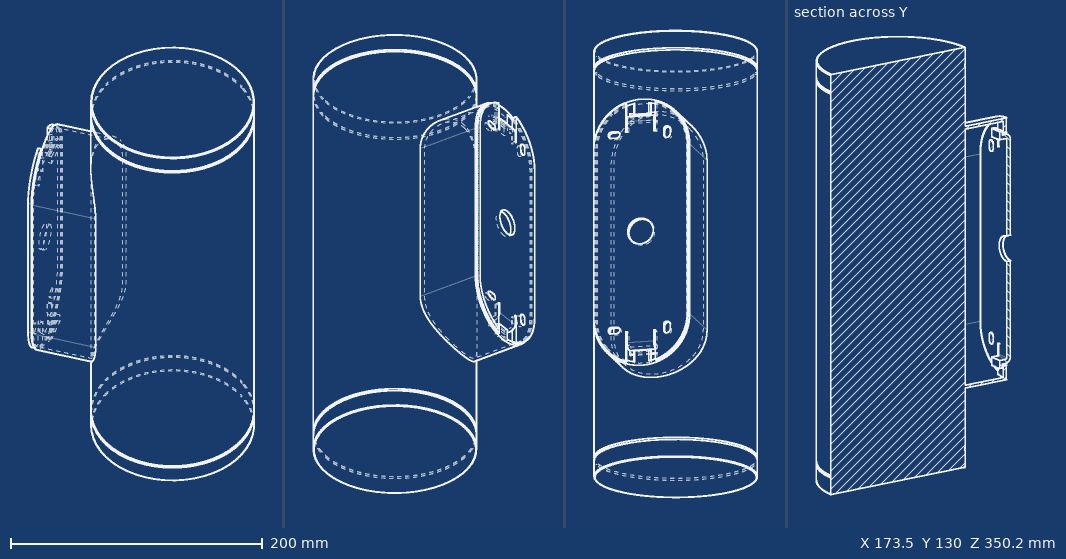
import cadquery as cq

LAMP_HEIGHT = 350.2
LAMP_DIAMETER = 130.0
LAMP_RADIUS = LAMP_DIAMETER / 2
LAMP_EDGE_CHAMFER = 0.7
GROOVE_OFFSET = 14.5
GROOVE_WIDTH = 1.8
GROOVE_DEPTH = 0.5

OVERALL_DEPTH = 173.5
ARM_RADIUS = 39.5
ARM_STRAIGHT = 139.5
ARM_WALL = 2.8

PLATE_THICKNESS = 4.0
PLATE_INSET = 1.0
SHADOW_GAP_WIDTH = 1.0
SHADOW_GAP_DEPTH = 1.0
CABLE_HOLE_DIAMETER = 21.0
SCREW_SLOT_LENGTH = 9.5
SCREW_SLOT_WIDTH = 5.3
SCREW_SLOT_Y = 21.7
SCREW_SLOT_Z = 80.2

CLIP_WINDOW_WIDTH = 24.5
CLIP_ROOT_Z = 82.0
CLIP_GAP = 1.5
CLIP_OUTER_Z = 95.5
CLIP_BEND_RADIUS = 5.0
CLIP_LIP_Z = 98.8
CLIP_LIP_LENGTH = 3.0
CLIP_CLEARANCE = 0.5
TAB_WIDTH = 14.0
TAB_INNER_Z = 97.0
TAB_THICKNESS = 3.5
TAB_SIDE_CHAMFER = 1.5

PLATE_FACE_X = LAMP_RADIUS - OVERALL_DEPTH
ARM_FACE_X = PLATE_FACE_X + PLATE_THICKNESS
ARM_END_Z = ARM_STRAIGHT / 2 + ARM_RADIUS


def stadium(start_x, length, radius):
    """Upright stadium with round ends of the given radius, extruded along +X."""
    return (
        cq.Workplane("YZ", origin=(start_x, 0, 0))
        .slot2D(ARM_STRAIGHT + 2 * radius, 2 * radius, 90)
        .extrude(length)
    )


def box_between(x_range, width, z_range):
    """Box centred on Y = 0 between two X limits and two Z limits."""
    x_start, x_end = x_range
    z_start, z_end = z_range
    return (
        cq.Workplane("XY", origin=(x_start, 0, z_start))
        .box(x_end - x_start, width, z_end - z_start, centered=(False, True, False))
    )


def at_both_ends(shape):
    """The shape at the upper end and its mirror image at the lower end."""
    return [shape, shape.mirror("XY")]


def make_lamp_cylinder():
    lamp = (
        cq.Workplane("XY")
        .circle(LAMP_RADIUS)
        .extrude(LAMP_HEIGHT / 2, both=True)
        .edges("%CIRCLE")
        .chamfer(LAMP_EDGE_CHAMFER)
    )
    groove_top = LAMP_HEIGHT / 2 - GROOVE_OFFSET
    groove = (
        cq.Workplane("XY", origin=(0, 0, groove_top - GROOVE_WIDTH))
        .circle(LAMP_RADIUS)
        .circle(LAMP_RADIUS - GROOVE_DEPTH)
        .extrude(GROOVE_WIDTH)
    )
    for ring in at_both_ends(groove):
        lamp = lamp.cut(ring)
    return lamp


def make_snap_tab():
    """Tab standing inward from the upper end of the arm rim, bevelled along its front sides."""
    tab = box_between(
        (ARM_FACE_X, ARM_FACE_X + TAB_THICKNESS), TAB_WIDTH, (TAB_INNER_Z, ARM_END_Z)
    )
    return tab.faces("<X").edges("|Z").chamfer(TAB_SIDE_CHAMFER)


def make_housing():
    arm_length = -ARM_FACE_X
    outer = stadium(ARM_FACE_X, arm_length, ARM_RADIUS)
    arm = outer.cut(stadium(ARM_FACE_X, arm_length, ARM_RADIUS - ARM_WALL))
    for tab in at_both_ends(make_snap_tab()):
        arm = arm.union(tab.intersect(outer))
    return make_lamp_cylinder().union(arm)


def make_clip():
    """Upper snap clip: a tongue flush with the plate, bent into the arm and ending in a lip."""
    inner_radius = CLIP_BEND_RADIUS - PLATE_THICKNESS
    bend_x = PLATE_FACE_X + CLIP_BEND_RADIUS
    bend_z = CLIP_OUTER_Z - CLIP_BEND_RADIUS
    lip_x = ARM_FACE_X + TAB_THICKNESS + CLIP_CLEARANCE
    tip_x = lip_x + CLIP_LIP_LENGTH
    tongue_width = CLIP_WINDOW_WIDTH - 2 * CLIP_GAP
    return (
        cq.Workplane("XZ")
        .moveTo(PLATE_FACE_X, CLIP_ROOT_Z)
        .lineTo(PLATE_FACE_X, bend_z)
        .radiusArc((bend_x, CLIP_OUTER_Z), CLIP_BEND_RADIUS)
        .lineTo(lip_x, CLIP_OUTER_Z)
        .lineTo(lip_x, CLIP_LIP_Z)
        .lineTo(tip_x, CLIP_LIP_Z)
        .lineTo(tip_x, CLIP_OUTER_Z - PLATE_THICKNESS)
        .lineTo(bend_x, CLIP_OUTER_Z - PLATE_THICKNESS)
        .radiusArc((ARM_FACE_X, bend_z), -inner_radius)
        .lineTo(ARM_FACE_X, CLIP_ROOT_Z)
        .close()
        .extrude(tongue_width / 2, both=True)
    )


def screw_slots(y, angle):
    """Cutters for an upper and a lower screw slot at the given Y, turned by the given angle."""
    return (
        cq.Workplane("YZ", origin=(PLATE_FACE_X, 0, 0))
        .pushPoints([(y, SCREW_SLOT_Z), (y, -SCREW_SLOT_Z)])
        .slot2D(SCREW_SLOT_LENGTH, SCREW_SLOT_WIDTH, angle)
        .extrude(PLATE_THICKNESS)
    )


def make_plate():
    plate_radius = ARM_RADIUS - PLATE_INSET
    rim_seat = stadium(PLATE_FACE_X, PLATE_THICKNESS, plate_radius - SHADOW_GAP_DEPTH)
    plate = stadium(PLATE_FACE_X, PLATE_THICKNESS - SHADOW_GAP_WIDTH, plate_radius).union(rim_seat)

    cable_hole = (
        cq.Workplane("YZ", origin=(PLATE_FACE_X, 0, 0))
        .circle(CABLE_HOLE_DIAMETER / 2)
        .extrude(PLATE_THICKNESS)
    )
    plate = plate.cut(cable_hole)
    plate = plate.cut(screw_slots(SCREW_SLOT_Y, 0))
    plate = plate.cut(screw_slots(-SCREW_SLOT_Y, 90))

    window = box_between((PLATE_FACE_X, ARM_FACE_X), CLIP_WINDOW_WIDTH, (CLIP_ROOT_Z, ARM_END_Z))
    for opening in at_both_ends(window):
        plate = plate.cut(opening)
    for clip in at_both_ends(make_clip()):
        plate = plate.union(clip)
    return plate


housing = make_housing()
plate = make_plate()
result = cq.Compound.makeCompound([housing.solids().val(), plate.solids().val()])